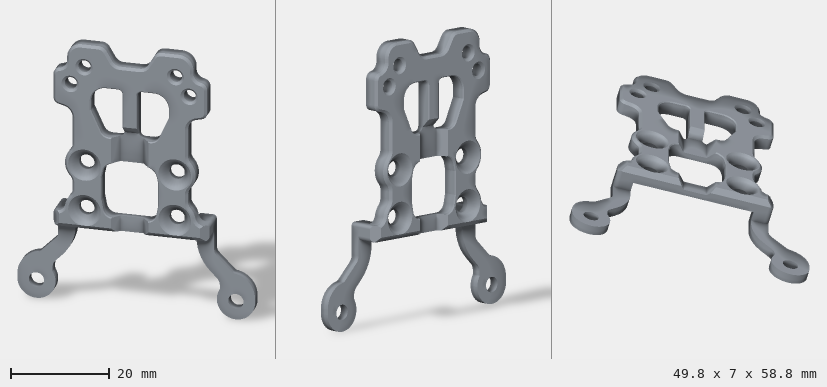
import cadquery as cq
import math

plate_thickness = 3.0
total_depth = 7.0
arm_thickness = 2.0
arm_front = total_depth - arm_thickness
overall_width = 49.8
half_width = overall_width / 2
overall_height = 58.8
plate_top = 40.65
arm_bottom = plate_top - overall_height

notch_floor = 36.65
notch_floor_half_width = 3.2
notch_half_width = 5.5
ear_half_width = 16.1
ear_top = 34.7
ear_top_round = 1.45
ear_bottom = 27.3
ear_bottom_round = 1.4
side_half_width = 12.1
head_half_width = 13.25
neck_top = 35.35
neck_top_round = 1.9
neck_bottom = 26.3
neck_bottom_round = 2.35
foot_half_width = 16.35
foot_top = 3.5
foot_round = 0.75
small_round = 1.0
medium_round = 2 * small_round
large_round = 3 * small_round

rim_chamfer = 0.5
window_chamfer = 0.205
bottom_chamfer = 1.05
foot_chamfer = 1.6

screw_diameter = 3.2
sink_diameter = 6.8
screw_x = 9.45
screw_heights = (4.35, 14.35)
boss_radius = 4.25
boss_fillet = 2.05
foot_fillet = 1.95
pin_diameter = 2.5
pin_chamfer = 0.5
pin_places = ((9.6, 35.85), (12.45, 31.85))

groove_half_width = 3.95
groove_floor_half_width = 2.4
groove_depth = 1.75
groove_top = 23.6
groove_floor_top = 21.8

bar_half_width = 1.5
upper_window_top = 31.7
upper_window_bottom = 20.95
upper_window_half_width = 8.2
upper_window_slope_start = 26.6
upper_window_slope_end = 5.6
upper_window_round = 3.2

lower_window_top = 15.35
lower_window_bottom = 3.35
lower_window_half_width = 5.95
lower_window_end_half_width = 5.25
lower_window_side_top = 11.95
lower_window_side_bottom = 7.05
lower_window_top_round = 2.5
lower_window_bottom_round = 2.1

arm_inner = 12.65
post_inner_round = 0.45
eye_radius = 4.0
shoulder_radius = 5.0
elbow_radius = 10.0
eye_neck = 17.5
eye_neck_round = 0.6
eye_neck_bottom = -11.95
eye_neck_top = -10.2
eye_tangent_end = -12.95
elbow_inner = -5.2
elbow_outer = -4.05
shoulder_start_x = 20.35
shoulder_start_z = -8.05
shoulder_corner = -9.0

shortest_line = 0.0005


def rounded_outline(points):
    """Closed XZ outline through (x, z, radius) corners, each corner rounded by a tangent arc."""
    trims = []
    count = len(points)
    for i, (x, z, radius) in enumerate(points):
        corner = cq.Vector(x, z, 0)
        before = (cq.Vector(*points[i - 1][:2], 0) - corner).normalized()
        after = (cq.Vector(*points[(i + 1) % count][:2], 0) - corner).normalized()
        half_angle = before.getAngle(after) / 2
        start = corner + before * (radius / math.tan(half_angle))
        end = corner + after * (radius / math.tan(half_angle))
        inward = (before + after).normalized()
        middle = corner + inward * (radius / math.sin(half_angle) - radius)
        trims.append((radius, start.toTuple()[:2], middle.toTuple()[:2], end.toTuple()[:2]))

    here = trims[0][3]
    outline = cq.Workplane("XZ").moveTo(*here)
    for radius, start, middle, end in trims[1:] + trims[:1]:
        if math.dist(here, start) > shortest_line:
            outline = outline.lineTo(*start)
        if radius > 0:
            outline = outline.threePointArc(middle, end)
        here = end
    return outline.close()


def both_sides(points):
    """Add the mirror image about x = 0 to a half outline, running back to the start."""
    return points + [(-x, z, radius) for x, z, radius in reversed(points)]


def prism(outline, front, back):
    """Solid of an XZ outline between two depths."""
    return outline.extrude(-(back - front)).translate((0, front, 0))


def mirrored(solid):
    """The solid together with its mirror image about x = 0."""
    return solid.union(solid.mirror("YZ"))


def boss_corner(height, start_angle, end_angle):
    """Corner that makes an arc of the boss rim, between two angles from the X axis."""
    middle = (start_angle + end_angle) / 2
    reach = boss_radius / math.cos((start_angle - end_angle) / 2)
    return (screw_x + reach * math.cos(middle), height + reach * math.sin(middle), boss_radius)


def plate_blank():
    """Plate with its whole outline, chamfered around the front face."""
    low, high = screw_heights
    side_angle = math.acos((side_half_width + boss_fillet - screw_x) / (boss_radius + boss_fillet))
    foot_angle = math.asin((foot_top + foot_fillet - low) / (boss_radius + foot_fillet))

    side_offset = side_half_width - screw_x
    side_rise = (boss_radius - side_offset * math.cos(side_angle)) / math.sin(side_angle)
    foot_corner_x = screw_x + (boss_radius - (foot_top - low) * math.sin(foot_angle)) / math.cos(foot_angle)

    half = [
        (notch_floor_half_width, notch_floor, medium_round),
        (notch_half_width, plate_top, medium_round),
        (head_half_width, plate_top, large_round),
        (head_half_width, neck_top, neck_top_round),
        (ear_half_width, ear_top, ear_top_round),
        (ear_half_width, ear_bottom, ear_bottom_round),
        (side_half_width, neck_bottom, neck_bottom_round),
        (side_half_width, high + side_rise, boss_fillet),
        boss_corner(high, side_angle, -side_angle),
        (side_half_width, high - side_rise, boss_fillet),
        (side_half_width, low + side_rise, boss_fillet),
        boss_corner(low, side_angle, foot_angle),
        (foot_corner_x, foot_top, foot_fillet),
        (foot_half_width, foot_top, foot_round),
        (foot_half_width, 0, small_round),
    ]
    blank = prism(rounded_outline(both_sides(half)), 0, plate_thickness)
    return blank.faces("<Y").edges().chamfer(rim_chamfer)


def window(corners):
    """Through window with a small chamfer around its front rim."""
    opening = prism(rounded_outline(corners), 0, plate_thickness)
    flare = rounded_outline(corners).offset2D(window_chamfer).extrude(-window_chamfer, taper=45)
    return opening.union(flare)


def upper_window():
    return window([
        (bar_half_width, upper_window_top, small_round),
        (upper_window_half_width, upper_window_top, upper_window_round),
        (upper_window_half_width, upper_window_slope_start, 0),
        (upper_window_slope_end, upper_window_bottom, medium_round),
        (bar_half_width, upper_window_bottom, small_round),
    ])


def lower_window():
    half = [
        (lower_window_end_half_width, lower_window_top, lower_window_top_round),
        (lower_window_half_width, lower_window_side_top, 0),
        (lower_window_half_width, lower_window_side_bottom, 0),
        (lower_window_end_half_width, lower_window_bottom, lower_window_bottom_round),
    ]
    return window(both_sides(half))


def groove():
    """Trapezoidal groove up the middle, ending in a sloped face on the bar between the windows."""
    section = [
        (-groove_half_width, 0),
        (-groove_floor_half_width, groove_depth),
        (groove_floor_half_width, groove_depth),
        (groove_half_width, 0),
    ]
    channel = cq.Workplane("XY").polyline(section).close().extrude(groove_top)
    profile = [(0, 0), (groove_depth, 0), (groove_depth, groove_floor_top), (0, groove_top)]
    run = cq.Workplane("YZ").polyline(profile).close().extrude(groove_half_width, both=True)
    return channel.intersect(run)


def edge_wedges():
    """Material removed by the wide chamfers along the lower edge and the sides of the feet."""
    lower_section = [(0, 0), (bottom_chamfer, 0), (0, bottom_chamfer)]
    lower = cq.Workplane("YZ").polyline(lower_section).close().extrude(foot_half_width, both=True)
    side_section = [
        (foot_half_width, 0),
        (foot_half_width - foot_chamfer, 0),
        (foot_half_width, foot_chamfer),
    ]
    side = cq.Workplane("XY").polyline(side_section).close().extrude(foot_top)
    return lower.union(mirrored(side))


def flared_hole(x, z, diameter, mouth_diameter):
    """Through hole with a 45 degree conical mouth at the front face."""
    radius = diameter / 2
    mouth_radius = mouth_diameter / 2
    profile = [
        (0, 0),
        (mouth_radius, 0),
        (radius, mouth_radius - radius),
        (radius, plate_thickness),
        (0, plate_thickness),
    ]
    return cq.Workplane("XY").polyline(profile).close().revolve(360, (0, 0), (0, 1)).translate((x, 0, z))


def arm():
    """Cranked strip with a screw eye at its lower end, set back from the plate."""
    eye_inner = half_width - 2 * eye_radius
    outline = rounded_outline([
        (foot_half_width, foot_top, foot_round),
        (foot_half_width, elbow_outer, medium_round),
        (shoulder_start_x, shoulder_start_z, small_round),
        (half_width, shoulder_corner, shoulder_radius),
        (half_width, arm_bottom, eye_radius),
        (eye_inner, arm_bottom, eye_radius),
        (eye_inner, eye_tangent_end, eye_radius),
        (eye_neck, eye_neck_bottom, eye_neck_round),
        (eye_neck, eye_neck_top, medium_round),
        (arm_inner, elbow_inner, elbow_radius),
        (arm_inner, foot_top, post_inner_round),
    ])
    eye_center = (half_width - eye_radius, arm_bottom + eye_radius)
    hole = cq.Workplane("XZ").center(*eye_center).circle(screw_diameter / 2)
    return prism(outline, arm_front, total_depth).cut(prism(hole, arm_front, total_depth))


def post():
    """Block that joins a foot of the plate to the arm behind it."""
    outline = rounded_outline([
        (foot_half_width, foot_top, foot_round),
        (foot_half_width, 0, small_round),
        (arm_inner, 0, 0),
        (arm_inner, foot_top, post_inner_round),
    ])
    return prism(outline, plate_thickness, total_depth)


plate = plate_blank()
for opening in (mirrored(upper_window()), lower_window(), groove(), edge_wedges()):
    plate = plate.cut(opening)
for height in screw_heights:
    plate = plate.cut(mirrored(flared_hole(screw_x, height, screw_diameter, sink_diameter)))
for x, z in pin_places:
    plate = plate.cut(mirrored(flared_hole(x, z, pin_diameter, pin_diameter + 2 * pin_chamfer)))

result = plate.union(mirrored(post())).union(mirrored(arm()))